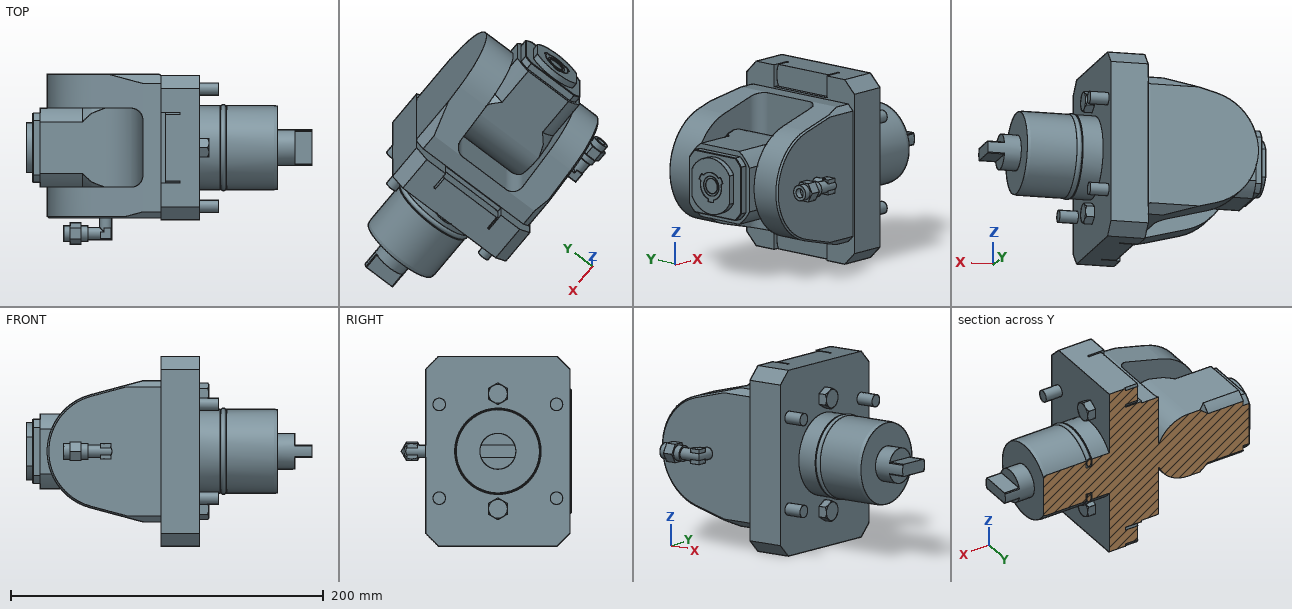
import cadquery as cq
import math


PLATE_THICKNESS = 24.7
PLATE_WIDTH = 92.5
PLATE_HEIGHT = 121.5
PLATE_CHAMFER = 8.3
RECESS_WIDTH = 45.2
RECESS_DEPTH = 2.9
RECESS_FLOOR_Z = 46.4
SLIT_WIDTH = 1.3
SLIT_DEPTH = 12.2
SLIT_BULGE_RADIUS = 16.0
SLIT_BULGE_OVERLAP = 0.4

SCREW_DIAMETER = 8.0
SCREW_LENGTH = 12.2
SCREW_Y = 37.5
SCREW_Z = 30.0
HEX_HEAD_FLATS = 12.0
HEX_HEAD_LENGTH = 6.0
HEX_HEAD_Z = 36.8
HEX_HEAD_CHAMFER = 0.9

SHANK_DIAMETER = 54.0
SHANK_LENGTH = 50.0
SHANK_LEAD_LENGTH = 2.3
SHANK_LEAD_DEPTH = 0.4
RING_GROOVE_X = 15.25
RING_GROOVE_WIDTH = 4.1
RING_GROOVE_DEPTH = 2.7
RING_SECTION_RADIUS = 1.7
RING_CREST_DIAMETER = 55.3
SHAFT_DIAMETER = 23.0
SHAFT_END_X = 61.0
TANG_END_X = 72.0
TANG_THICKNESS = 8.0
TANG_CHAMFER = 1.1

PIVOT_X = -60.0
NOSE_RADIUS = 37.5
FLANK_ANGLE = math.radians(15)
BODY_HALF_HEIGHT = 45.25
BODY_HALF_WIDTH = 47.0
BODY_CORNER_CHAMFER = 6.0
FRONT_FACE_Y = -45.0
FRONT_RIM_CHAMFER = 1.1
BACK_EDGE_FILLET = 1.5
FORK_GAP = 50.6
FORK_CORNER_RADIUS = 7.75
FORK_FLOOR_OVERLAP = 0.2

HEAD_RADIUS = 24.0
HEAD_FACE_X = -101.9
HEAD_TURNED_RADIUS = 29.1
HEAD_TURNED_END_X = -75.0
HEAD_STEEP_CONE_END_X = -69.0
HEAD_STEEP_CONE_ANGLE = math.radians(30)
HEAD_SHALLOW_CONE_ANGLE = math.radians(15)
FLANGE_FACE_X = -106.7
FLANGE_WIDTH = 44.4
FLANGE_HEIGHT = 41.2
FLANGE_CORNER_RADIUS = 27.0
FLANGE_CHAMFER = 0.4
OVERALL_LENGTH = 182.76
CAP_FACE_X = TANG_END_X - OVERALL_LENGTH
CAP_RADIUS = 18.5
CAP_WIDTH = 32.0

STAR_RADIUS = 9.0
STAR_LOBE_RADIUS = 10.6
STAR_LOBE_WIDTH = 4.4
STAR_LOBE_ANGLES = (30, 150, 270)
RECESS_STEP_RADII = (6.5, 5.0)
RECESS_STEP_DEPTH = 0.3

FITTING_Y = -54.94
PIPE_DIAMETER = 8.0
FITTING_COLLAR_DIAMETER = 10.2
FITTING_HEX_FLATS = 12.0
FITTING_BORE_DIAMETER = 6.0
FITTING_TIP_X = -87.0
FITTING_HEX_START_X = -82.7
FITTING_HEX_END_X = -75.8
FITTING_COLLAR_END_X = -71.4
ELBOW_HEIGHT = 9.8
ELBOW_INSET = 0.7
ELBOW_LEG_LENGTH = 6.8
ELBOW_LEG_WIDTH = 4.4


def x_cylinder(x_start, x_end, radius, y=0.0, z=0.0):
    return cq.Workplane("YZ", origin=(x_start, y, z)).circle(radius).extrude(x_end - x_start)


def x_box(x_start, x_end, width, height):
    return cq.Workplane("YZ", origin=(x_start, 0, 0)).rect(width, height).extrude(x_end - x_start)


def x_hexagon(x_start, x_end, flats, rotation, y=0.0, z=0.0):
    across_corners = flats / math.cos(math.pi / 6)
    blank = cq.Workplane("YZ").polygon(6, across_corners).extrude(x_end - x_start)
    return blank.rotate((0, 0, 0), (1, 0, 0), rotation).translate((x_start, y, z))


def revolved_about_x(points):
    return cq.Workplane("XY").polyline(points).close().revolve(360, (0, 0, 0), (1, 0, 0))


def mounting_plate():
    plate = x_box(-PLATE_THICKNESS, 0, PLATE_WIDTH, PLATE_HEIGHT).edges("|X").chamfer(PLATE_CHAMFER)
    recess_height = PLATE_HEIGHT / 2 - RECESS_FLOOR_Z
    recess_z = RECESS_FLOOR_Z + recess_height / 2
    for side in (1, -1):
        recess = cq.Workplane("XY").box(RECESS_DEPTH, RECESS_WIDTH, recess_height)
        plate = plate.cut(recess.translate((-PLATE_THICKNESS + RECESS_DEPTH / 2, 0, side * recess_z)))
        for hand in (1, -1):
            slit_y = hand * (RECESS_WIDTH - SLIT_WIDTH) / 2
            slit = cq.Workplane("XY").box(SLIT_DEPTH, SLIT_WIDTH, recess_height)
            slit = slit.translate((-PLATE_THICKNESS + SLIT_DEPTH / 2, slit_y, side * recess_z))
            bulge_y = hand * (RECESS_WIDTH / 2 + SLIT_BULGE_OVERLAP - SLIT_BULGE_RADIUS)
            bulge = x_cylinder(-PLATE_THICKNESS, 0, SLIT_BULGE_RADIUS, bulge_y, side * recess_z)
            plate = plate.cut(slit.cut(bulge))
    return plate


def screws():
    group = cq.Workplane("YZ").rect(2 * SCREW_Y, 2 * SCREW_Z, forConstruction=True).vertices()
    return group.circle(SCREW_DIAMETER / 2).extrude(SCREW_LENGTH)


def hex_head(z):
    corner_radius = HEX_HEAD_FLATS / math.sqrt(3)
    envelope = x_cylinder(0, HEX_HEAD_LENGTH, corner_radius, z=z).faces(">X").chamfer(HEX_HEAD_CHAMFER)
    return x_hexagon(0, HEX_HEAD_LENGTH, HEX_HEAD_FLATS, 90, z=z).intersect(envelope)


def shank():
    radius = SHANK_DIAMETER / 2
    groove_start = RING_GROOVE_X - RING_GROOVE_WIDTH / 2
    groove_end = RING_GROOVE_X + RING_GROOVE_WIDTH / 2
    groove_radius = radius - RING_GROOVE_DEPTH
    body = revolved_about_x([
        (0, 0),
        (0, radius),
        (groove_start, radius),
        (groove_start, groove_radius),
        (groove_end, groove_radius),
        (groove_end, radius),
        (SHANK_LENGTH - SHANK_LEAD_LENGTH, radius),
        (SHANK_LENGTH, radius - SHANK_LEAD_DEPTH),
        (SHANK_LENGTH, 0),
    ])
    ring_center_radius = RING_CREST_DIAMETER / 2 - RING_SECTION_RADIUS
    ring = (
        cq.Workplane("XY")
        .center(RING_GROOVE_X, ring_center_radius)
        .circle(RING_SECTION_RADIUS)
        .revolve(360, (0, -ring_center_radius, 0), (1, -ring_center_radius, 0))
    )
    return body.union(ring)


def drive_shaft():
    radius = SHAFT_DIAMETER / 2
    shaft = x_cylinder(SHANK_LENGTH, SHAFT_END_X, radius)
    tang = x_box(SHAFT_END_X, TANG_END_X, SHAFT_DIAMETER, TANG_THICKNESS).edges("|X").chamfer(TANG_CHAMFER)
    return shaft.union(tang.intersect(x_cylinder(SHAFT_END_X, TANG_END_X, radius)))


def forked_body():
    tangent_x = PIVOT_X - NOSE_RADIUS * math.sin(FLANK_ANGLE)
    tangent_z = NOSE_RADIUS * math.cos(FLANK_ANGLE)
    shoulder_x = tangent_x + (BODY_HALF_HEIGHT - tangent_z) / math.tan(FLANK_ANGLE)
    side_outline = (
        cq.Workplane("XZ", origin=(0, BODY_HALF_WIDTH, 0))
        .moveTo(-PLATE_THICKNESS, -BODY_HALF_HEIGHT)
        .lineTo(-PLATE_THICKNESS, BODY_HALF_HEIGHT)
        .lineTo(shoulder_x, BODY_HALF_HEIGHT)
        .lineTo(tangent_x, tangent_z)
        .threePointArc((PIVOT_X - NOSE_RADIUS, 0), (tangent_x, -tangent_z))
        .lineTo(shoulder_x, -BODY_HALF_HEIGHT)
        .close()
        .extrude(BODY_HALF_WIDTH - FRONT_FACE_Y)
    )
    end_outline = x_box(
        PIVOT_X - NOSE_RADIUS, -PLATE_THICKNESS, 2 * BODY_HALF_WIDTH, 2 * BODY_HALF_HEIGHT
    ).edges("|X").chamfer(BODY_CORNER_CHAMFER)
    body = side_outline.intersect(end_outline)
    body = body.faces("<Y").edges("not(|X or |Z)").chamfer(FRONT_RIM_CHAMFER)
    body = body.faces(">Y").edges(">X").fillet(BACK_EDGE_FILLET)

    gap_start = PIVOT_X - 2 * NOSE_RADIUS
    gap_end = PIVOT_X + HEAD_RADIUS - FORK_FLOOR_OVERLAP
    gap = (
        cq.Workplane("XY")
        .box(gap_end - gap_start, FORK_GAP, 2 * PLATE_HEIGHT)
        .edges("|Z and >X")
        .fillet(FORK_CORNER_RADIUS)
        .translate(((gap_start + gap_end) / 2, 0, 0))
    )
    return body.cut(gap)


def spindle_head():
    block = x_box(HEAD_FACE_X, PIVOT_X, FORK_GAP, 2 * HEAD_RADIUS)
    steep_rise = (HEAD_STEEP_CONE_END_X - HEAD_TURNED_END_X) * math.tan(HEAD_STEEP_CONE_ANGLE)
    steep_end_radius = HEAD_TURNED_RADIUS + steep_rise
    shallow_rise = (PIVOT_X - HEAD_STEEP_CONE_END_X) * math.tan(HEAD_SHALLOW_CONE_ANGLE)
    envelope = revolved_about_x([
        (HEAD_FACE_X, 0),
        (HEAD_FACE_X, HEAD_TURNED_RADIUS),
        (HEAD_TURNED_END_X, HEAD_TURNED_RADIUS),
        (HEAD_STEEP_CONE_END_X, steep_end_radius),
        (PIVOT_X, steep_end_radius + shallow_rise),
        (PIVOT_X + HEAD_RADIUS, steep_end_radius + shallow_rise),
        (PIVOT_X + HEAD_RADIUS, 0),
    ])
    pivot_drum = (
        cq.Workplane("XZ", origin=(PIVOT_X, FORK_GAP / 2, 0)).circle(HEAD_RADIUS).extrude(FORK_GAP)
    )
    flange = x_box(FLANGE_FACE_X, HEAD_FACE_X, FLANGE_WIDTH, FLANGE_HEIGHT)
    flange = flange.intersect(x_cylinder(FLANGE_FACE_X, HEAD_FACE_X, FLANGE_CORNER_RADIUS))
    flange = flange.faces("<X").chamfer(FLANGE_CHAMFER)
    cap = x_cylinder(CAP_FACE_X, FLANGE_FACE_X, CAP_RADIUS)
    cap = cap.intersect(x_box(CAP_FACE_X, FLANGE_FACE_X, CAP_WIDTH, 2 * CAP_RADIUS))
    return block.union(pivot_drum).intersect(envelope).union(flange).union(cap)


def cap_recess():
    floor_x = CAP_FACE_X + RECESS_STEP_DEPTH
    recess = x_cylinder(CAP_FACE_X, floor_x, STAR_RADIUS)
    for angle in STAR_LOBE_ANGLES:
        lobe = (
            cq.Workplane("YZ", origin=(CAP_FACE_X, 0, 0))
            .center(STAR_LOBE_RADIUS / 2, 0)
            .rect(STAR_LOBE_RADIUS, STAR_LOBE_WIDTH)
            .extrude(RECESS_STEP_DEPTH)
            .intersect(x_cylinder(CAP_FACE_X, floor_x, STAR_LOBE_RADIUS))
            .rotate((0, 0, 0), (1, 0, 0), angle)
        )
        recess = recess.union(lobe)
    for radius in RECESS_STEP_RADII:
        floor_x += RECESS_STEP_DEPTH
        recess = recess.union(x_cylinder(CAP_FACE_X, floor_x, radius))
    return recess


def elbow_fitting():
    pipe_radius = PIPE_DIAMETER / 2
    long_stub = (
        cq.Workplane("XZ", origin=(PIVOT_X, FRONT_FACE_Y, 0))
        .circle(pipe_radius)
        .extrude(FRONT_FACE_Y - FITTING_Y + PIPE_DIAMETER)
    )
    stub = (
        cq.Workplane("XZ", origin=(PIVOT_X, FRONT_FACE_Y, 0))
        .circle(pipe_radius)
        .extrude(FRONT_FACE_Y - FITTING_Y)
    )
    long_pipe = x_cylinder(FITTING_COLLAR_END_X, PIVOT_X + PIPE_DIAMETER, pipe_radius, y=FITTING_Y)
    pipe = x_cylinder(FITTING_COLLAR_END_X, PIVOT_X, pipe_radius, y=FITTING_Y)
    mitred_corner = long_pipe.intersect(long_stub)
    corner_x = PIVOT_X + pipe_radius - ELBOW_INSET
    corner_y = FITTING_Y - pipe_radius + ELBOW_INSET
    elbow = (
        cq.Workplane("XY", origin=(corner_x, corner_y, -ELBOW_HEIGHT / 2))
        .polyline([
            (0, 0),
            (0, ELBOW_LEG_LENGTH),
            (-ELBOW_LEG_WIDTH, ELBOW_LEG_LENGTH),
            (-ELBOW_LEG_WIDTH, ELBOW_LEG_WIDTH),
            (-ELBOW_LEG_LENGTH, ELBOW_LEG_WIDTH),
            (-ELBOW_LEG_LENGTH, 0),
        ])
        .close()
        .extrude(ELBOW_HEIGHT)
    )
    collar = x_cylinder(FITTING_TIP_X, FITTING_COLLAR_END_X, FITTING_COLLAR_DIAMETER / 2, y=FITTING_Y)
    nut = x_hexagon(FITTING_HEX_START_X, FITTING_HEX_END_X, FITTING_HEX_FLATS, 0, y=FITTING_Y)
    bore = x_cylinder(FITTING_TIP_X, FITTING_HEX_START_X, FITTING_BORE_DIAMETER / 2, y=FITTING_Y)
    return stub.union(pipe).union(mitred_corner).union(elbow).union(collar).union(nut).cut(bore)


result = mounting_plate().union(screws())
for head_z in (HEX_HEAD_Z, -HEX_HEAD_Z):
    result = result.union(hex_head(head_z))
result = result.union(shank()).union(drive_shaft())
result = result.union(forked_body()).union(spindle_head()).cut(cap_recess())
result = result.union(elbow_fitting())